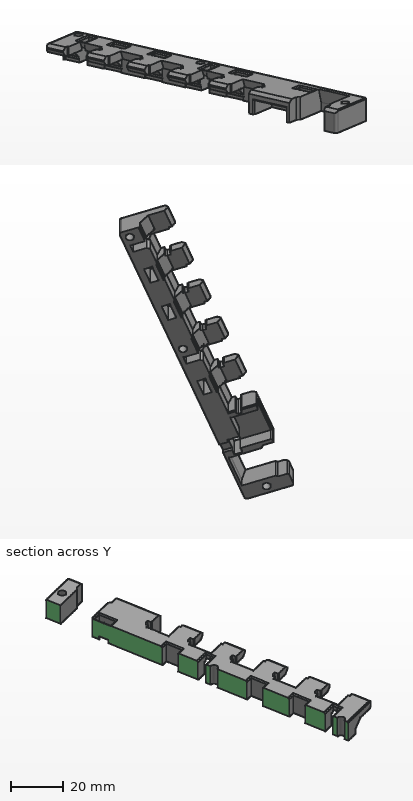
import cadquery as cq

LENGTH = 137.5
DEPTH = 20.0
HEIGHT = 9.2

CORNER_RADIUS = 1.1
TOP_CHAMFER = 0.4
TIP_SLOPE_DEPTH = 1.5
TIP_SLOPE_DROP = 1.2

BAR_FRONT_TOP = 9.9
BAR_FRONT_BOTTOM = 11.4
LEAN_END_Z = 5.6

PITCH = 19.2
TOOTH_COUNT = 5
TOOTH_LEFT = -0.1
TIP_RIGHT = 8.2
NECK_RIGHT = 9.0
NECK_FRONT = 2.8
TIP_UNDER_Z = 7.4
TIP_UNDER_DEPTH = 1.4
TOOTH_UNDER_Z = 5.6
BRACE_FRONT = 8.0
BRACE_BOTTOM_Z = 2.5

NOTCH_FRONT = 6.5
NOTCH_BACK = 8.5
NOTCH_DEPTH = 1.6
NOTCH_CORNER = 0.5

FLANK_BEVEL_DEPTH = 0.3
FLANK_BEVEL_WIDTH = 0.7

FOOT_SLOT_HEIGHT = 1.5
FOOT_SLOT_WIDTH = 8.2
FOOT_SLOT_DEPTH = 0.5
END_WALL = 0.7

WIDE_LEFT = TOOTH_LEFT + TOOTH_COUNT * PITCH
WIDE_RIGHT = 116.5
WIDE_TIP_RIGHT = 115.4
WIDE_STEP_Y = 4.4
WIDE_WALL = 2.5
WIDE_CAVITY_LEFT = WIDE_LEFT + WIDE_WALL
WIDE_CAVITY_RIGHT = 113.6
WIDE_CAVITY_Z = 5.6
WIDE_MOUTH_BEVEL = 0.5

ARM_LEFT = 130.8
ARM_TIP_LEFT = 131.5
ARM_TIP_CHAMFER = 0.5
OPENING_BACK_TOP = 17.3
OPENING_BACK_BOTTOM = 18.8
OPENING_LEAN_END_Z = 3.6

WINDOW_LONG = 7.0
WINDOW_SHORT = 3.3
WINDOW_CHAMFER = 0.5
WINDOW_Y = 15.4
FLAT_WINDOW_X = 23.2
FLAT_WINDOW_PITCHES = (0, 1, 3)
UPRIGHT_WINDOW_X = 8.8
UPRIGHT_WINDOW_Y = 14.5
UPRIGHT_PITCHES = 3
UPRIGHT_OPENING_BEVEL = 1.0
UPRIGHT_OPENING_FRONTS = (BRACE_FRONT, 9.6)
WIDE_WINDOW_LONG = 7.4
WIDE_WINDOW_X = 111.9
WIDE_WINDOW_Y = 14.6
BACK_NOTCH_LEFT = 109.2
BACK_NOTCH_RIGHT = 113.3
BACK_NOTCH_HEIGHT = FOOT_SLOT_HEIGHT

HOLE_DIAMETER = 3.2
HOLE_X = 3.3
HOLE_Y = 16.6
ARM_HOLE_X = 134.3
ARM_HOLE_Y = 10.0


def block(x0, x1, y0, y1, z0, z1):
    """Box given by its limits along each axis."""
    return cq.Workplane("XY").box(x1 - x0, y1 - y0, z1 - z0, centered=False).translate((x0, y0, z0))


def extrude_along_x(profile, x0, x1):
    """Closed (Y, Z) profile extruded from x0 to x1."""
    return cq.Workplane("YZ").workplane(offset=x0).polyline(profile).close().extrude(x1 - x0)


def make_envelope():
    """Outer block with rounded corners, chamfered top and sloped front edge."""
    body = block(0, LENGTH, 0, DEPTH, 0, HEIGHT)
    body = body.edges("|Z").fillet(CORNER_RADIUS)
    body = body.faces(">Z").edges().chamfer(TOP_CHAMFER)
    slope = [
        (0, HEIGHT),
        (0, HEIGHT - TIP_SLOPE_DROP),
        (TIP_SLOPE_DEPTH, HEIGHT),
    ]
    return body.cut(extrude_along_x(slope, 0, LENGTH))


def make_bar():
    profile = [
        (BAR_FRONT_BOTTOM, 0),
        (DEPTH, 0),
        (DEPTH, HEIGHT),
        (BAR_FRONT_TOP, HEIGHT),
        (BAR_FRONT_BOTTOM, LEAN_END_Z),
    ]
    return extrude_along_x(profile, 0, LENGTH)


def make_tooth(offset):
    """Small tooth with an undercut tip and a sloped brace down to the bar."""
    profile = [
        (0, HEIGHT),
        (0, TIP_UNDER_Z),
        (TIP_UNDER_DEPTH, TOOTH_UNDER_Z),
        (BRACE_FRONT, TOOTH_UNDER_Z),
        (BAR_FRONT_BOTTOM, BRACE_BOTTOM_Z),
        (DEPTH, BRACE_BOTTOM_Z),
        (DEPTH, HEIGHT),
    ]
    left = max(0, TOOTH_LEFT + offset)
    tooth = extrude_along_x(profile, left, TIP_RIGHT + offset)
    neck = block(TIP_RIGHT + offset, NECK_RIGHT + offset, NECK_FRONT, BAR_FRONT_BOTTOM, TOOTH_UNDER_Z, HEIGHT)
    return tooth.union(neck)


def make_wide_tooth():
    outline = [
        (WIDE_LEFT, 0),
        (WIDE_TIP_RIGHT, 0),
        (WIDE_TIP_RIGHT, WIDE_STEP_Y),
        (WIDE_RIGHT, WIDE_STEP_Y + WIDE_RIGHT - WIDE_TIP_RIGHT),
        (WIDE_RIGHT, DEPTH),
        (WIDE_LEFT, DEPTH),
    ]
    tooth = cq.Workplane("XY").polyline(outline).close().extrude(HEIGHT)
    tooth = tooth.cut(block(WIDE_CAVITY_LEFT, WIDE_CAVITY_RIGHT, 0, BAR_FRONT_BOTTOM, 0, WIDE_CAVITY_Z))
    width = WIDE_CAVITY_RIGHT - WIDE_CAVITY_LEFT
    mouth = (
        cq.Workplane("XZ", origin=((WIDE_CAVITY_LEFT + WIDE_CAVITY_RIGHT) / 2, WIDE_MOUTH_BEVEL, 0))
        .rect(width, 2 * WIDE_CAVITY_Z)
        .workplane(offset=WIDE_MOUTH_BEVEL)
        .rect(width + 2 * WIDE_MOUTH_BEVEL, 2 * (WIDE_CAVITY_Z + WIDE_MOUTH_BEVEL))
        .loft(ruled=True)
    )
    return tooth.cut(mouth)


def make_arm():
    outline = [
        (ARM_TIP_LEFT + ARM_TIP_CHAMFER, 0),
        (LENGTH, 0),
        (LENGTH, DEPTH),
        (ARM_LEFT, DEPTH),
        (ARM_LEFT, WIDE_STEP_Y + ARM_TIP_LEFT - ARM_LEFT),
        (ARM_TIP_LEFT, WIDE_STEP_Y),
        (ARM_TIP_LEFT, ARM_TIP_CHAMFER),
    ]
    return cq.Workplane("XY").polyline(outline).close().extrude(HEIGHT)


def make_opening():
    """Cutter between wide tooth and arm; its back wall leans like the bar front."""
    profile = [
        (0, 0),
        (OPENING_BACK_BOTTOM, 0),
        (OPENING_BACK_BOTTOM, OPENING_LEAN_END_Z),
        (OPENING_BACK_TOP, HEIGHT),
        (0, HEIGHT),
    ]
    return extrude_along_x(profile, WIDE_RIGHT, ARM_LEFT)


def make_notch(flank):
    """Full-height notch cutter with a cut inner corner and a bevelled front edge."""
    floor = flank + NOTCH_DEPTH
    outline = [
        (flank, NOTCH_FRONT - FLANK_BEVEL_WIDTH),
        (flank + FLANK_BEVEL_DEPTH, NOTCH_FRONT),
        (floor, NOTCH_FRONT),
        (floor, NOTCH_BACK - NOTCH_CORNER),
        (floor - NOTCH_CORNER, NOTCH_BACK),
        (flank, NOTCH_BACK),
    ]
    return cq.Workplane("XY").polyline(outline).close().extrude(HEIGHT)


def make_window(x, y, size_x, size_y):
    """Rectangular through cutter with a chamfered rim at the top."""
    shaft = block(x - size_x / 2, x + size_x / 2, y - size_y / 2, y + size_y / 2, 0, HEIGHT)
    rim = (
        cq.Workplane("XY", origin=(x, y, HEIGHT - WINDOW_CHAMFER))
        .rect(size_x, size_y)
        .workplane(offset=WINDOW_CHAMFER)
        .rect(size_x + 2 * WINDOW_CHAMFER, size_y + 2 * WINDOW_CHAMFER)
        .loft(ruled=True)
    )
    return shaft.union(rim)


def make_upright_window(x, opening_front):
    """Upright window whose lower part is open towards the teeth."""
    window = make_window(x, UPRIGHT_WINDOW_Y, WINDOW_SHORT, WINDOW_LONG)
    left = x - WINDOW_SHORT / 2
    right = x + WINDOW_SHORT / 2
    opening = [
        (left, opening_front),
        (right + UPRIGHT_OPENING_BEVEL, opening_front),
        (right + UPRIGHT_OPENING_BEVEL, BAR_FRONT_BOTTOM),
        (right, BAR_FRONT_BOTTOM + UPRIGHT_OPENING_BEVEL),
        (right, UPRIGHT_WINDOW_Y),
        (left, UPRIGHT_WINDOW_Y),
    ]
    return window.union(cq.Workplane("XY").polyline(opening).close().extrude(LEAN_END_Z))


body = make_bar()
for index in range(TOOTH_COUNT):
    body = body.union(make_tooth(index * PITCH))
body = body.union(make_wide_tooth())
body = body.cut(make_opening()).union(make_arm())

for index in range(1, TOOTH_COUNT + 1):
    flank = TOOTH_LEFT + index * PITCH
    body = body.cut(make_notch(flank))

bottom_bevel = [
    (WIDE_LEFT, 0),
    (WIDE_LEFT + FLANK_BEVEL_DEPTH, 0),
    (WIDE_LEFT, FLANK_BEVEL_WIDTH),
]
body = body.cut(cq.Workplane("XZ").polyline(bottom_bevel).close().extrude(-BAR_FRONT_BOTTOM))

for index in range(TOOTH_COUNT):
    centre = index * PITCH + (TOOTH_LEFT + TIP_RIGHT) / 2
    left = max(END_WALL, centre - FOOT_SLOT_WIDTH / 2)
    right = centre + FOOT_SLOT_WIDTH / 2
    slot_back = BAR_FRONT_BOTTOM + FOOT_SLOT_DEPTH
    body = body.cut(block(left, right, BAR_FRONT_BOTTOM, slot_back, 0, FOOT_SLOT_HEIGHT))

for step in FLAT_WINDOW_PITCHES:
    body = body.cut(make_window(FLAT_WINDOW_X + step * PITCH, WINDOW_Y, WINDOW_LONG, WINDOW_SHORT))
for index, opening_front in enumerate(UPRIGHT_OPENING_FRONTS):
    body = body.cut(make_upright_window(UPRIGHT_WINDOW_X + index * UPRIGHT_PITCHES * PITCH, opening_front))
body = body.cut(make_window(WIDE_WINDOW_X, WIDE_WINDOW_Y, WIDE_WINDOW_LONG, WINDOW_SHORT))

window_left = WIDE_WINDOW_X - WIDE_WINDOW_LONG / 2
body = body.cut(block(window_left, WIDE_CAVITY_RIGHT, WIDE_STEP_Y, WIDE_WINDOW_Y, 0, WIDE_CAVITY_Z))
body = body.cut(block(BACK_NOTCH_LEFT, BACK_NOTCH_RIGHT, WIDE_WINDOW_Y, DEPTH, 0, BACK_NOTCH_HEIGHT))

hole_places = [(HOLE_X, HOLE_Y), (HOLE_X + UPRIGHT_PITCHES * PITCH, HOLE_Y), (ARM_HOLE_X, ARM_HOLE_Y)]
body = body.cut(cq.Workplane("XY").pushPoints(hole_places).circle(HOLE_DIAMETER / 2).extrude(HEIGHT))

result = body.intersect(make_envelope())